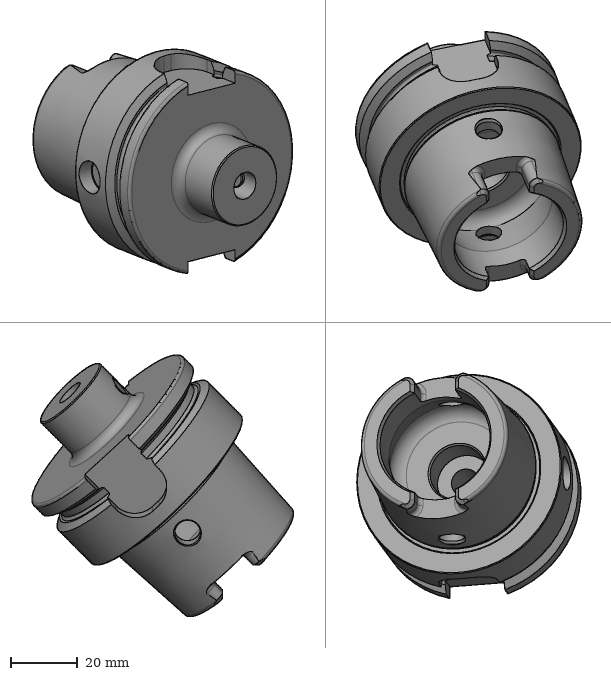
import cadquery as cq
import math


total_length = 73.9
flange_start = 31.9
flange_end = 58.0

taper_mouth_radius = 22.6
taper_large_radius = 24.25
taper_end = 29.85
rim_fillet = 1.1
undercut_start = 30.6
undercut_radius = 23.95
undercut_step_x = 31.3
undercut_bottom_radius = 23.65
undercut_depth = 0.4
undercut_wall_radius = 24.8
undercut_outer_radius = 25.2

flange_diameter = 63.0
flange_radius = flange_diameter / 2
flange_front_chamfer = 0.3
flange_back_fillet = 0.9
groove_start = 46.55
groove_end = 53.35
groove_floor_radius = 27.4
groove_flank_width = 1.4
groove_flank_angle = 60.0
groove_floor_fillet = 0.9

nose_radius = 12.5
nose_root_fillet = 2.95
nose_chamfer = 0.4

mouth_bore_radius = 16.9
mouth_chamfer_length = 1.25
mouth_chamfer_height = 0.7
mouth_bore_depth = 12.85
chamber_radius = 19.95
chamber_fillet = 4.2
chamber_depth = 30.0
coolant_bore_radius = 9.0
coolant_bore_chamfer = 0.5
coolant_bore_length = 10.0
tool_bore_radius = 4.2

slot_half_width = 6.3
slot_shoulder_height = 20.85
slot_edge_radius = 2.5
slot_shoulder_slope = 10.0
slot_corner_radius = 1.4
slot_mouth_chamfer = 1.2
upper_slot_depth = 10.2
lower_slot_depth = 6.05

keyway_half_width = 9.0
keyway_start = 36.8
keyway_corner_radius = 7.7
keyway_floor_height = 26.3

access_hole_x = 22.9
access_hole_radius = 3.85
access_hole_rim_radius = 4.3
access_hole_rim_depth = 0.8
chip_hole_x = 38.95
chip_hole_radius = 5.0
chip_hole_floor_chamfer = 0.2
chip_hole_depth = 4.95

screw_x = 65.0
screw_radius = 3.4
screw_tip_y = 3.2
screw_outer_y = 11.8
screw_tip_chamfer = 0.3

clearance = 3.7


def revolve_about_x(profile):
    return profile.close().revolve(360, (0, 0, 0), (1, 0, 0))


def make_outer_body():
    flank_depth = groove_flank_width * math.tan(math.radians(groove_flank_angle))
    flank_radius = flange_radius - flank_depth
    wall_start = groove_start + groove_flank_width
    wall_end = groove_end - groove_flank_width
    root_x = flange_end + nose_root_fillet
    root_radius = nose_radius + nose_root_fillet
    arc_offset = nose_root_fillet * math.sqrt(0.5)
    back_fillet_offset = flange_back_fillet * (1 - math.sqrt(0.5))
    floor_offset = groove_floor_fillet * (1 - math.sqrt(0.5))
    rim_offset = rim_fillet * (1 - math.sqrt(0.5))

    profile = (
        cq.Workplane("XY")
        .lineTo(0, taper_mouth_radius - rim_fillet)
        .threePointArc(
            (rim_offset, taper_mouth_radius - rim_offset),
            (rim_fillet, taper_mouth_radius),
        )
        .lineTo(taper_end, taper_large_radius)
        .lineTo(undercut_start, undercut_radius)
        .lineTo(undercut_step_x, undercut_radius)
        .lineTo(flange_start + undercut_depth, undercut_bottom_radius)
        .lineTo(flange_start + undercut_depth, undercut_wall_radius)
        .lineTo(flange_start, undercut_outer_radius)
        .lineTo(flange_start, flange_radius - flange_front_chamfer)
        .lineTo(flange_start + flange_front_chamfer, flange_radius)
        .lineTo(groove_start, flange_radius)
        .lineTo(wall_start, flank_radius)
        .lineTo(wall_start, groove_floor_radius + groove_floor_fillet)
        .threePointArc(
            (wall_start + floor_offset, groove_floor_radius + floor_offset),
            (wall_start + groove_floor_fillet, groove_floor_radius),
        )
        .lineTo(wall_end - groove_floor_fillet, groove_floor_radius)
        .threePointArc(
            (wall_end - floor_offset, groove_floor_radius + floor_offset),
            (wall_end, groove_floor_radius + groove_floor_fillet),
        )
        .lineTo(wall_end, flank_radius)
        .lineTo(groove_end, flange_radius)
        .lineTo(flange_end - flange_back_fillet, flange_radius)
        .threePointArc(
            (flange_end - back_fillet_offset, flange_radius - back_fillet_offset),
            (flange_end, flange_radius - flange_back_fillet),
        )
        .lineTo(flange_end, root_radius)
        .threePointArc(
            (root_x - arc_offset, root_radius - arc_offset),
            (root_x, nose_radius),
        )
        .lineTo(total_length - nose_chamfer, nose_radius)
        .lineTo(total_length, nose_radius - nose_chamfer)
        .lineTo(total_length, 0)
    )
    return revolve_about_x(profile)


def make_inner_bores():
    fillet_offset = chamber_fillet * (1 - math.sqrt(0.5))
    coolant_bore_end = chamber_depth + coolant_bore_length
    profile = (
        cq.Workplane("XY")
        .lineTo(0, mouth_bore_radius + mouth_chamfer_height)
        .lineTo(mouth_chamfer_length, mouth_bore_radius)
        .lineTo(mouth_bore_depth, mouth_bore_radius)
        .lineTo(chamber_depth - chamber_fillet, chamber_radius)
        .threePointArc(
            (chamber_depth - fillet_offset, chamber_radius - fillet_offset),
            (chamber_depth, chamber_radius - chamber_fillet),
        )
        .lineTo(chamber_depth, coolant_bore_radius)
        .lineTo(chamber_depth + coolant_bore_chamfer, coolant_bore_radius - coolant_bore_chamfer)
        .lineTo(coolant_bore_end, coolant_bore_radius - coolant_bore_chamfer)
        .lineTo(coolant_bore_end, tool_bore_radius)
        .lineTo(total_length, tool_bore_radius)
        .lineTo(total_length, 0)
    )
    return revolve_about_x(profile)


def slot_outline(start_x, offset):
    """Slot section at start_x, grown outward by offset.

    Each straight wall is rounded out, past the top of the curve, into a shoulder that slopes down outward.
    """
    wall_y = slot_half_width + offset
    crest_z = slot_shoulder_height - offset
    edge_radius = slot_edge_radius - offset
    slope = math.radians(slot_shoulder_slope)
    reach = taper_large_radius + clearance + offset

    center_y = wall_y + edge_radius
    center_z = crest_z - edge_radius
    arc_offset = edge_radius * math.sqrt(0.5)
    shoulder_y = center_y + edge_radius * math.sin(slope)
    shoulder_z = center_z + edge_radius * math.cos(slope)
    outer_z = shoulder_z - (reach - shoulder_y) * math.tan(slope)
    return (
        cq.Workplane("YZ", origin=(start_x, 0, 0))
        .moveTo(-wall_y, 0)
        .lineTo(wall_y, 0)
        .lineTo(wall_y, center_z)
        .threePointArc((center_y - arc_offset, center_z + arc_offset), (shoulder_y, shoulder_z))
        .lineTo(reach, outer_z)
        .lineTo(reach, reach)
        .lineTo(-reach, reach)
        .lineTo(-reach, outer_z)
        .lineTo(-shoulder_y, shoulder_z)
        .threePointArc((arc_offset - center_y, center_z + arc_offset), (-wall_y, center_z))
        .close()
    )


def make_driving_slot(depth):
    """Cutter for the +Z driving slot, with a flared mouth and rounded inner corners."""
    slot = slot_outline(0, 0).extrude(depth)
    margin = 0.1
    inner_end_edges = cq.selectors.BoxSelector(
        (depth - margin, -taper_large_radius, margin),
        (depth + margin, taper_large_radius, slot_shoulder_height + margin),
    )
    slot = slot.edges(inner_end_edges).fillet(slot_corner_radius)
    flare = cq.Solid.makeLoft(
        [
            slot_outline(0, slot_mouth_chamfer).wires().val(),
            slot_outline(slot_mouth_chamfer, 0).wires().val(),
        ],
        True,
    )
    return slot.union(cq.Workplane(flare))


def make_keyway():
    """Cutter for the +Z keyway, open at the back of the flange."""
    length = flange_end + clearance - keyway_start
    return (
        cq.Workplane("XY", origin=(keyway_start, 0, keyway_floor_height))
        .rect(length, 2 * keyway_half_width)
        .extrude(flange_radius)
        .translate((length / 2, 0, 0))
        .edges("|Z and <X")
        .fillet(keyway_corner_radius)
    )


def opposite(cutter):
    return cutter.rotate((0, 0, 0), (1, 0, 0), 180)


def make_access_hole():
    """Cutter for the cross hole through both shank walls, with a conical rim at each end."""
    rim_z = taper_mouth_radius + (taper_large_radius - taper_mouth_radius) * access_hole_x / taper_end
    profile = (
        cq.Workplane("XZ", origin=(access_hole_x, 0, 0))
        .lineTo(access_hole_radius, 0)
        .lineTo(access_hole_radius, rim_z - access_hole_rim_depth)
        .lineTo(access_hole_rim_radius, rim_z)
        .lineTo(access_hole_rim_radius, rim_z + clearance)
        .lineTo(0, rim_z + clearance)
        .close()
    )
    half = profile.revolve(360, (0, 0, 0), (0, 1, 0))
    return half.union(opposite(half))


def make_chip_hole():
    """Cutter for the blind hole in the -Y side of the flange."""
    return (
        cq.Workplane("XZ", origin=(chip_hole_x, chip_hole_depth - flange_radius, 0))
        .circle(chip_hole_radius)
        .extrude(chip_hole_depth + clearance)
        .faces(">Y")
        .chamfer(chip_hole_floor_chamfer)
    )


def make_screw_hole():
    """Cutter for the clamping screw, from the tool bore out through the +Y side of the nose."""
    return (
        cq.Workplane("XZ", origin=(screw_x, 0, 0))
        .circle(screw_radius)
        .extrude(-nose_radius - clearance)
    )


def make_holder():
    holder = make_outer_body().cut(make_inner_bores())
    holder = holder.cut(make_driving_slot(upper_slot_depth))
    holder = holder.cut(opposite(make_driving_slot(lower_slot_depth)))
    holder = holder.cut(make_keyway()).cut(opposite(make_keyway()))
    holder = holder.cut(make_access_hole())
    holder = holder.cut(make_chip_hole())
    return holder.cut(make_screw_hole())


def make_clamping_screw():
    return (
        cq.Workplane("XZ", origin=(screw_x, screw_tip_y, 0))
        .circle(screw_radius)
        .extrude(screw_tip_y - screw_outer_y)
        .faces("<Y")
        .chamfer(screw_tip_chamfer)
    )


holder = make_holder()
clamping_screw = make_clamping_screw()
result = cq.Compound.makeCompound([holder.solids().val(), clamping_screw.solids().val()])